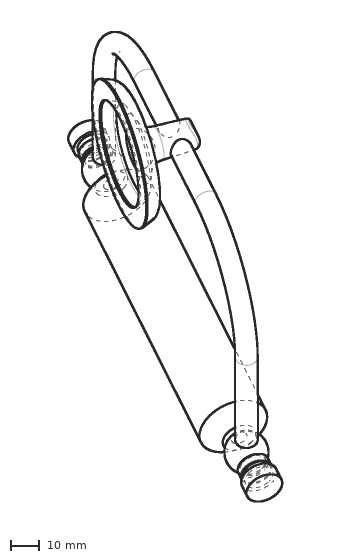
import cadquery as cq
import math


roller_radius = 12.6
roller_half_length = 63.4
roller_end_radius = 6.1
roller_cone_length = 5.8

rod_radius = 4.0
leg_x = 70.5
rail_z = 89.8
bend_radius = 40.1

ball_radius = 7.7
knob_tip_x = 90.0
knob_dome_height = 1.6
knob_head_radius = 6.7
knob_head_inner_x = 83.0
knob_neck_radius = 5.2
collar_radius = 5.8
collar_outer_x = 80.5
collar_inner_x = 77.2
stub_radius = 4.9

wall_y = -20.9
rosette_radius = 27.0
rim_thickness = 0.5
rosette_face_radius = 22.1
rosette_shoulder_y = -14.0
flare_radius = 12.6
flare_start_y = -13.5
post_root_y = -6.5
post_root_radius = 6.1
post_radius = 5.5
post_end_radius = 7.5
post_edge_fillet = 1.5

recess_radius = 19.5
recess_floor_radius = 17.0
recess_wall_end_radius = 17.5
recess_depth = 5.4
recess_lip = 0.7
recess_floor_bevel = 0.9
dimple_radius = 7.5


def make_roller():
    """Cylinder with a truncated cone at each end."""
    body_x = roller_half_length - roller_cone_length
    return (
        cq.Workplane("XY")
        .moveTo(-roller_half_length, 0)
        .lineTo(-roller_half_length, roller_end_radius)
        .lineTo(-body_x, roller_radius)
        .lineTo(body_x, roller_radius)
        .lineTo(roller_half_length, roller_end_radius)
        .lineTo(roller_half_length, 0)
        .close()
        .revolve(360, (0, 0, 0), (1, 0, 0))
    )


def make_frame():
    """Round rod swept up one leg, across the top rail and down the other leg."""
    rail_end_x = leg_x - bend_radius
    leg_top_z = rail_z - bend_radius
    diagonal = bend_radius * math.sqrt(0.5)
    bend_mid_x = rail_end_x + diagonal
    bend_mid_z = leg_top_z + diagonal
    path = (
        cq.Workplane("XZ")
        .moveTo(-leg_x, 0)
        .lineTo(-leg_x, leg_top_z)
        .threePointArc((-bend_mid_x, bend_mid_z), (-rail_end_x, rail_z))
        .lineTo(rail_end_x, rail_z)
        .threePointArc((bend_mid_x, bend_mid_z), (leg_x, leg_top_z))
        .lineTo(leg_x, 0)
    )
    return cq.Workplane("XY").center(-leg_x, 0).circle(rod_radius).sweep(path)


def make_end_fitting():
    """Ball joint with a collar, neck and dome-ended knob on the +X side."""
    ball = cq.Workplane("XY").sphere(ball_radius).translate((leg_x, 0, 0))
    dome_base_x = knob_tip_x - knob_dome_height
    dome_sphere_radius = (knob_head_radius**2 + knob_dome_height**2) / (2 * knob_dome_height)
    dome_mid_radius = knob_head_radius / 2
    dome_center_x = knob_tip_x - dome_sphere_radius
    dome_mid_x = dome_center_x + math.sqrt(dome_sphere_radius**2 - dome_mid_radius**2)
    knob = (
        cq.Workplane("XY")
        .moveTo(leg_x, 0)
        .lineTo(leg_x, stub_radius)
        .lineTo(collar_inner_x, stub_radius)
        .lineTo(collar_inner_x, collar_radius)
        .lineTo(collar_outer_x, collar_radius)
        .lineTo(collar_outer_x, knob_neck_radius)
        .lineTo(knob_head_inner_x, knob_neck_radius)
        .lineTo(knob_head_inner_x, knob_head_radius)
        .lineTo(dome_base_x, knob_head_radius)
        .threePointArc((dome_mid_x, dome_mid_radius), (knob_tip_x, 0))
        .close()
        .revolve(360, (0, 0, 0), (1, 0, 0))
    )
    return ball.union(knob)


def make_rosette():
    """Flared wall disc and post, turned about Y at the height of the top rail."""
    rim_y = wall_y + rim_thickness
    profile = (
        cq.Workplane("XY")
        .moveTo(0, wall_y)
        .lineTo(rosette_radius, wall_y)
        .lineTo(rosette_radius, rim_y)
        .spline(
            [(rosette_face_radius, rosette_shoulder_y)],
            tangents=[(-0.3, 1), (-1, 0.1)],
            includeCurrent=True,
        )
        .lineTo(flare_radius, flare_start_y)
        .spline(
            [(post_root_radius, post_root_y)],
            tangents=[(-1, 0.4), (0, 1)],
            includeCurrent=True,
        )
        .lineTo(post_radius, post_end_radius)
        .lineTo(0, post_end_radius)
        .close()
    )
    turned = profile.revolve(360, (0, 0, 0), (0, 1, 0))

    post_length = post_end_radius - wall_y
    rounding = (
        cq.Workplane("YZ")
        .circle(post_end_radius)
        .extrude(rosette_radius, both=True)
        .rotate((0, 0, 0), (1, 0, 0), 180)
        .union(
            cq.Workplane("XY")
            .box(2 * rosette_radius, post_length, 2 * rosette_radius)
            .translate((0, -post_length / 2, 0))
        )
    )
    rounded = turned.intersect(rounding)
    end_rim = cq.selectors.BoxSelector(
        (-rosette_radius, rod_radius / 2, -rosette_radius),
        (rosette_radius, post_end_radius, rosette_radius),
    )
    rounded = rounded.edges(end_rim).fillet(post_edge_fillet)
    return rounded.translate((0, 0, rail_z))


def make_recess():
    """Tapered recess with a straight lip, a beveled floor edge and a round dimple in its floor."""
    floor_y = wall_y + recess_depth
    recess = (
        cq.Workplane("XY")
        .moveTo(0, wall_y)
        .lineTo(recess_radius, wall_y)
        .lineTo(recess_radius, wall_y + recess_lip)
        .lineTo(recess_wall_end_radius, floor_y - recess_floor_bevel)
        .lineTo(recess_floor_radius, floor_y)
        .lineTo(0, floor_y)
        .close()
        .revolve(360, (0, 0, 0), (0, 1, 0))
    )
    dimple = cq.Workplane("XY").sphere(dimple_radius).translate((0, floor_y, 0))
    return recess.union(dimple).translate((0, 0, rail_z))


end_fitting = make_end_fitting()
result = (
    make_roller()
    .union(make_frame())
    .union(end_fitting)
    .union(end_fitting.mirror("YZ"))
    .union(make_rosette())
    .cut(make_recess())
)